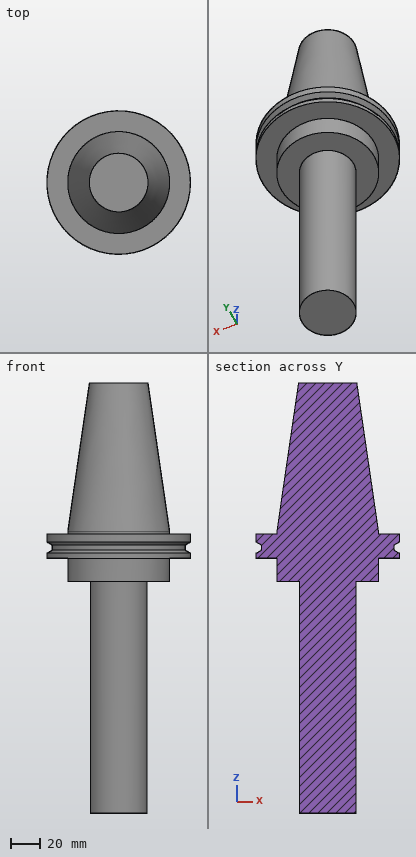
import cadquery as cq
import math

total_height = 294.5

gauge_diameter = 69.8
taper_length = 101.5
taper_ratio = 7 / 24
taper_top_diameter = gauge_diameter - taper_length * taper_ratio
collar_height = 1.8

flange_diameter = 98.5
flange_thickness = 16.8
upper_land_height = 5.5
groove_floor_diameter = 91.3
groove_floor_height = 3.5
groove_half_angle = 30.0
groove_depth = (flange_diameter - groove_floor_diameter) / 2
groove_side_height = groove_depth * math.tan(math.radians(groove_half_angle))

neck_diameter = gauge_diameter
neck_height = 16.0
shank_diameter = 39.0

taper_base_z = total_height - taper_length
flange_top_z = taper_base_z - collar_height
flange_bottom_z = flange_top_z - flange_thickness
neck_bottom_z = flange_bottom_z - neck_height
groove_top_z = flange_top_z - upper_land_height


def cylinder(diameter, bottom_z, top_z):
    """Cylinder on the Z axis between two heights."""
    return cq.Workplane("XY").workplane(offset=bottom_z).circle(diameter / 2).extrude(top_z - bottom_z)


def make_taper():
    """Cone narrowing upward from the gauge diameter."""
    return (
        cq.Workplane("XY")
        .workplane(offset=taper_base_z)
        .circle(gauge_diameter / 2)
        .workplane(offset=taper_length)
        .circle(taper_top_diameter / 2)
        .loft(ruled=True)
    )


def make_gripper_groove():
    """Ring with a trapezoidal section, to be cut from the flange rim."""
    rim_radius = flange_diameter / 2
    floor_radius = groove_floor_diameter / 2
    floor_top_z = groove_top_z - groove_side_height
    floor_bottom_z = floor_top_z - groove_floor_height
    groove_bottom_z = floor_bottom_z - groove_side_height
    return (
        cq.Workplane("XZ")
        .moveTo(rim_radius, groove_top_z)
        .lineTo(floor_radius, floor_top_z)
        .lineTo(floor_radius, floor_bottom_z)
        .lineTo(rim_radius, groove_bottom_z)
        .close()
        .revolve(360, (0, 0, 0), (0, 1, 0))
    )


shank = cylinder(shank_diameter, 0, neck_bottom_z)
neck = cylinder(neck_diameter, neck_bottom_z, flange_bottom_z)
flange = cylinder(flange_diameter, flange_bottom_z, flange_top_z).cut(make_gripper_groove())
collar = cylinder(gauge_diameter, flange_top_z, taper_base_z)

result = shank.union(neck).union(flange).union(collar).union(make_taper())